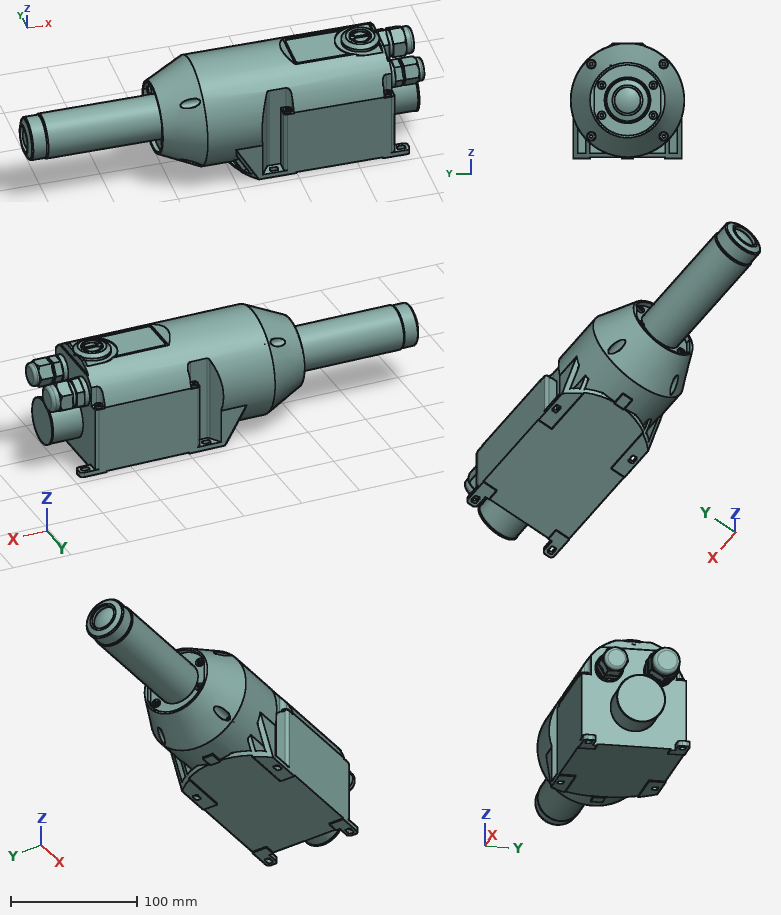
import cadquery as cq
import math


BARREL_R = 45.0
TUBE_R = 36.5 / 2
TUBE_START_X = 14.1
TUBE_CHAMFER_X = 1.2
TIP_R = 17.5
TIP_FACE_R = 24.0 / 2
TIP_RIM_X = 2.0
TIP_EDGE_CHAMFER = 1.0
TIP_BORE_R = 20.6 / 2
TIP_BORE_DEPTH = 3.0
TIP_DOME_HEIGHT = 3.0
CONE_START_X = 106.2
CONE_START_R = 29.7
CONE_END_X = 138.7
REAR_X = 293.5
CONE_HOLE_R = 7.0 / 2
CONE_HOLE_OFFSET = 28.6
CONE_HOLE_FLOOR_X = CONE_END_X + 3.0

NOSE_RECESS_R = 28.0
NOSE_RECESS_HALF_WIDTH = 26.5
NOSE_FLOOR_X = CONE_START_X + 4.0
FLANGE_SCREW_Y = 20.4
FLANGE_SCREW_Z = 11.9

SCREW_HEAD_R = 6.1 / 2
SCREW_HEAD_HEIGHT = 2.0
SCREW_SOCKET_WIDTH = 2.5
SCREW_SOCKET_DEPTH = 1.2

BASE_HALF_Y = 43.0
FOOT_BOTTOM_Z = -46.2
PAD_HEIGHT = 1.0
BASE_BOTTOM_Z = FOOT_BOTTOM_Z + PAD_HEIGHT
FOOT_TOP_Z = -42.0
SIDE_TOP_Z = math.sqrt(BARREL_R**2 - BASE_HALF_Y**2)
REAR_PLATE = 1.1
REAR_PLATE_TOP_Z = 36.0
REAR_CHAMFER_X = 3.0
REAR_CHAMFER_Y = 0.8
PAD_INNER_Y = 29.6
FRONT_PAD_END_X = 212.2
REAR_PAD_START_X = 283.5
FOOT_END_X = 306.2
FOOT_INNER_Y = 33.2
FOOT_CORNER_R = 3.0
FOOT_SLOT_LENGTH = 6.5
FOOT_SLOT_WIDTH = 4.5
FOOT_SLOT_CORNER_R = 1.0
FOOT_SLOT_Y = 38.1
FOOT_SLOT_XS = (195.2, 300.1)

FLARE_TOP_Z = -13.5
FLARE_SIDE_X = 181.5
FLARE_RAKE = 0.58
FLARE_NOSE_R = 60.0
OUTER_WALL = 3.7
INNER_WALL_Y = 33.0
INNER_WALL = 3.0
BAY_START_X = CONE_END_X
BAY_END_X = 184.0
CENTER_PAD_START_X = 152.3
CENTER_PAD_END_X = 163.5
CENTER_PAD_HALF_Y = 4.7

POCKET_START_X = 184.6
POCKET_INNER_X = 191.2
POCKET_INNER_Y = 32.6
POCKET_END_X = 202.2
POCKET_TOP_Z = 31.8
POCKET_CORNER_R = 2.5
COLUMN_R = 2.6
WELL_FLOOR_Z = 12.5
FRONT_WELL_END_X = 210.3
REAR_WELL_START_X = 285.0
REAR_WELL_INNER_Y = 34.5
WELL_CORNER_R = 3.8
WELL_SCREW_Y = 38.7
WELL_SCREW_XS = (206.0, 288.8)

PANEL_Z = 41.3
PANEL_RAMP_START_X = 212.2
PANEL_RAMP_END_X = 218.8
LABEL_START_X = 220.0
LABEL_HALF_Y = 16.2
LABEL_CORNER_R = 2.0
LABEL_DEPTH = 0.4
PANEL_END_X = 290.2
REAR_RIM_Z = 42.7
KNOB_X = 277.3
KNOB_SEAT_R = 20.2
KNOB_SEAT_Z = 40.1
KNOB_R = 30.29 / 2
KNOB_RIM_Z = 42.3
KNOB_TOP_R = 23.0 / 2
KNOB_TOP_Z = 45.0
KNOB_DISH_R = 17.5 / 2
KNOB_DISH_DEPTH = 2.0
KNOB_DISC_R = 13.5 / 2
KNOB_DISC_HEIGHT = 1.0
KNOB_BAR_WIDTH = 1.4
KNOB_BAR_HEIGHT = 1.7
KNOB_PIVOT_R = 2.3
KNOB_PIVOT_OFFSET = 6.2

INLET_R = 19.0
INLET_Z = -13.6
INLET_END_X = 320.7
INLET_LIP = 0.4
INLET_LIP_WIDTH = 1.2
GLAND_Z = 18.2
GLAND_HEX_START_X = 297.7
GLAND_HEX_END_X = 304.2
GLAND_NECK_STEP = 1.0
GLAND_NUT_CHAMFER = 1.5
LARGE_GLAND = {
    "y": 20.0,
    "flats": 22.5,
    "flange_r": 24.0 / 2,
    "nut_x": (307.5, 318.3),
    "cap_r": 11.0,
    "cap_edge_r": 3.0,
    "end_x": 325.25,
    "turn": 90,
}
SMALL_GLAND = {
    "y": -20.4,
    "flats": 19.0,
    "flange_r": 22.0 / 2,
    "nut_x": (305.8, 317.7),
    "cap_r": 9.5,
    "cap_edge_r": 2.5,
    "end_x": 322.3,
    "turn": 0,
}


def x_cylinder(radius, start_x, end_x, y=0.0, z=0.0):
    """Cylinder along X."""
    return cq.Workplane("YZ", origin=(start_x, y, z)).circle(radius).extrude(end_x - start_x)


def block(x_range, y_range, z_range):
    """Box given by its limits along each axis."""
    size = [high - low for low, high in (x_range, y_range, z_range)]
    return cq.Workplane("XY").box(*size, centered=False).translate((x_range[0], y_range[0], z_range[0]))


def both_sides(shape):
    """Shape together with its mirror image across the XZ plane."""
    return shape.union(shape.mirror("XZ"))


def screw_head():
    """Socket screw head standing on Z = 0 with its axis along Z."""
    head = cq.Workplane("XY").circle(SCREW_HEAD_R).extrude(SCREW_HEAD_HEIGHT)
    socket_corner_d = SCREW_SOCKET_WIDTH / math.cos(math.pi / 6)
    return head.faces(">Z").workplane().polygon(6, socket_corner_d).cutBlind(-SCREW_SOCKET_DEPTH)


def front_screw(x, y, z):
    """Screw head facing -X and seated at the given point."""
    return screw_head().rotate((0, 0, 0), (0, 1, 0), -90).translate((x, y, z))


def make_barrel():
    """Nozzle, recessed cone and barrel turned about the X axis, with a domed bore in the tip."""
    dome_r = (TIP_BORE_R**2 + TIP_DOME_HEIGHT**2) / (2 * TIP_DOME_HEIGHT)
    return (
        cq.Workplane("XY")
        .moveTo(TIP_BORE_DEPTH - TIP_DOME_HEIGHT, 0)
        .radiusArc((TIP_BORE_DEPTH, TIP_BORE_R), dome_r)
        .lineTo(0, TIP_BORE_R)
        .lineTo(0, TIP_FACE_R)
        .lineTo(TIP_RIM_X, TIP_R - TIP_EDGE_CHAMFER)
        .lineTo(TIP_RIM_X + TIP_EDGE_CHAMFER, TIP_R)
        .lineTo(TUBE_START_X, TIP_R)
        .lineTo(TUBE_START_X + TUBE_CHAMFER_X, TUBE_R)
        .lineTo(NOSE_FLOOR_X, TUBE_R)
        .lineTo(NOSE_FLOOR_X, NOSE_RECESS_R)
        .lineTo(CONE_START_X, NOSE_RECESS_R)
        .lineTo(CONE_START_X, CONE_START_R)
        .lineTo(CONE_END_X, BARREL_R)
        .lineTo(REAR_X, BARREL_R)
        .lineTo(REAR_X, 0)
        .close()
        .revolve(360, (0, 0, 0), (1, 0, 0))
    )


def cut_barrel_sides(body):
    """Side flats that trim the rear of the barrel to the width of the base."""
    flat = block((POCKET_START_X, REAR_X), (BASE_HALF_Y, BARREL_R), (-BARREL_R, BARREL_R))
    return body.cut(both_sides(flat))


def finish_nose_recess(body):
    """Flat sides for the recess around the nozzle, and four flange screws on its floor."""
    opening_y = (-NOSE_RECESS_HALF_WIDTH, NOSE_RECESS_HALF_WIDTH)
    flats = x_cylinder(NOSE_RECESS_R, CONE_START_X, NOSE_FLOOR_X)
    flats = flats.cut(block((CONE_START_X, NOSE_FLOOR_X), opening_y, (-NOSE_RECESS_R, NOSE_RECESS_R)))
    body = body.union(flats)
    for y in (-FLANGE_SCREW_Y, FLANGE_SCREW_Y):
        for z in (-FLANGE_SCREW_Z, FLANGE_SCREW_Z):
            body = body.union(front_screw(NOSE_FLOOR_X, y, z))
    return body


def cut_cone_holes(body):
    """Four screw holes parallel to X, opening through the cone."""
    for y in (-CONE_HOLE_OFFSET, CONE_HOLE_OFFSET):
        for z in (-CONE_HOLE_OFFSET, CONE_HOLE_OFFSET):
            body = body.cut(x_cylinder(CONE_HOLE_R, CONE_START_X, CONE_HOLE_FLOOR_X, y, z))
            body = body.union(front_screw(CONE_HOLE_FLOOR_X, y, z))
    return body


def add_flare_section(workplane, z):
    """Half plan outline of the base front at height z: a round nose moving forward with height."""
    end_x = BAY_END_X + OUTER_WALL
    side_x = FLARE_SIDE_X - FLARE_RAKE * (z - FOOT_BOTTOM_Z)
    nose_x = side_x + math.sqrt(FLARE_NOSE_R**2 - BASE_HALF_Y**2) - FLARE_NOSE_R
    return (
        workplane.moveTo(end_x, 0)
        .lineTo(nose_x, 0)
        .radiusArc((side_x, BASE_HALF_Y), FLARE_NOSE_R)
        .lineTo(end_x, BASE_HALF_Y)
        .close()
    )


def make_flare():
    """Rounded and raked front of the base with its inner bay and the pads below."""
    lower = add_flare_section(cq.Workplane("XY", origin=(0, 0, FOOT_BOTTOM_Z)), FOOT_BOTTOM_Z)
    sections = add_flare_section(lower.workplane(offset=FLARE_TOP_Z - FOOT_BOTTOM_Z), FLARE_TOP_Z)
    half = sections.loft(ruled=True)

    bay_height = (FOOT_TOP_Z, FLARE_TOP_Z)
    inner_bay_y = INNER_WALL_Y - INNER_WALL
    half = half.cut(block((BAY_START_X, BAY_END_X), (0, inner_bay_y), bay_height))

    under_floor_x = (BAY_START_X, BAY_END_X + OUTER_WALL)
    half = half.cut(block(under_floor_x, (0, PAD_INNER_Y), (FOOT_BOTTOM_Z, BASE_BOTTOM_Z)))
    half = half.union(
        block((CENTER_PAD_START_X, CENTER_PAD_END_X), (0, CENTER_PAD_HALF_Y), (FOOT_BOTTOM_Z, FOOT_TOP_Z))
    )
    return both_sides(half)


def make_base():
    """Box housing under the barrel with its four feet."""
    box = block((BAY_END_X, REAR_X), (-BASE_HALF_Y, BASE_HALF_Y), (BASE_BOTTOM_Z, SIDE_TOP_Z))
    pad_z = (FOOT_BOTTOM_Z, BASE_BOTTOM_Z)
    pads = block((BAY_END_X, FRONT_PAD_END_X), (PAD_INNER_Y, BASE_HALF_Y), pad_z)
    pads = pads.union(block((REAR_PAD_START_X, REAR_X), (PAD_INNER_Y, BASE_HALF_Y), pad_z))
    foot_x = (REAR_X - REAR_CHAMFER_X, FOOT_END_X)
    foot = block(foot_x, (FOOT_INNER_Y, BASE_HALF_Y), (FOOT_BOTTOM_Z, FOOT_TOP_Z))
    foot = foot.faces(">X").edges("|Z").fillet(FOOT_CORNER_R)
    base = box.union(both_sides(pads.union(foot))).union(make_flare())
    return base.cut(both_sides(make_outer_bay()))


def make_outer_bay():
    """Cavity between the two flared walls, ending parallel to the pocket front wall."""
    outer_y = BASE_HALF_Y - OUTER_WALL
    return (
        cq.Workplane("XY", origin=(0, 0, FOOT_TOP_Z))
        .polyline(
            [
                (BAY_START_X, INNER_WALL_Y),
                (BAY_START_X, outer_y),
                (pocket_front_x(outer_y) - OUTER_WALL, outer_y),
                (pocket_front_x(INNER_WALL_Y) - OUTER_WALL, INNER_WALL_Y),
            ]
        )
        .close()
        .extrude(FLARE_TOP_Z - FOOT_TOP_Z)
    )


def pocket_front_x(y):
    """X of the oblique pocket front wall at distance y from the middle plane."""
    slope = (POCKET_INNER_X - POCKET_START_X) / (BASE_HALF_Y - POCKET_INNER_Y)
    return POCKET_START_X + slope * (BASE_HALF_Y - y)


def cut_side_pockets(body):
    """Recess above each front foot with an oblique front wall and a rounded rear corner."""
    outer_y = BARREL_R + 1
    pocket = (
        cq.Workplane("XY", origin=(0, 0, FOOT_TOP_Z))
        .polyline(
            [
                (pocket_front_x(outer_y), outer_y),
                (POCKET_INNER_X, POCKET_INNER_Y),
                (POCKET_END_X, POCKET_INNER_Y),
                (POCKET_END_X, BASE_HALF_Y - COLUMN_R),
            ]
        )
        .radiusArc((POCKET_END_X + COLUMN_R, BASE_HALF_Y), COLUMN_R)
        .lineTo(POCKET_END_X + COLUMN_R, outer_y)
        .close()
        .extrude(POCKET_TOP_Z - FOOT_TOP_Z)
    )
    pocket = pocket.edges("|Z").edges("<Y").edges("<X").fillet(POCKET_CORNER_R)
    well_z = (WELL_FLOOR_Z, POCKET_TOP_Z)
    front_well = block((POCKET_END_X, FRONT_WELL_END_X), (POCKET_INNER_Y, outer_y), well_z)
    front_well = front_well.edges("|Z and >X and <Y").fillet(WELL_CORNER_R)
    rear_well = block((REAR_WELL_START_X, REAR_X), (REAR_WELL_INNER_Y, outer_y), well_z)
    rear_well = rear_well.edges("|Z and <X and <Y").fillet(WELL_CORNER_R)

    body = body.cut(both_sides(pocket.union(front_well).union(rear_well)))
    for x in WELL_SCREW_XS:
        body = body.union(both_sides(screw_head().translate((x, WELL_SCREW_Y, WELL_FLOOR_Z))))
    return body


def cut_rear_end(body):
    """Long shallow chamfers on the rear corners and a step above the rear end plate."""
    chamfer = (
        cq.Workplane("XY", origin=(0, 0, FOOT_TOP_Z))
        .polyline(
            [
                (REAR_X - REAR_CHAMFER_X, BASE_HALF_Y),
                (REAR_X, BASE_HALF_Y),
                (REAR_X, BASE_HALF_Y - REAR_CHAMFER_Y),
            ]
        )
        .close()
        .extrude(SIDE_TOP_Z - FOOT_TOP_Z)
    )
    step = block((REAR_X - REAR_PLATE, REAR_X), (-BARREL_R, BARREL_R), (REAR_PLATE_TOP_Z, BARREL_R))
    return body.cut(both_sides(chamfer)).cut(step)


def cut_foot_slots(body):
    """Rounded rectangular mounting slots through the feet."""
    foot_height = FOOT_TOP_Z - FOOT_BOTTOM_Z
    for x in FOOT_SLOT_XS:
        slot = (
            cq.Workplane("XY", origin=(x, FOOT_SLOT_Y, FOOT_BOTTOM_Z))
            .rect(FOOT_SLOT_LENGTH, FOOT_SLOT_WIDTH)
            .extrude(foot_height)
            .edges("|Z")
            .fillet(FOOT_SLOT_CORNER_R)
        )
        body = body.cut(both_sides(slot))
    return body


def cut_top_flats(body):
    """Ramped flat along the top, a label recess and the round-fronted knob seat."""
    panel = (
        cq.Workplane("XZ")
        .polyline(
            [
                (PANEL_RAMP_START_X, BARREL_R),
                (PANEL_RAMP_END_X, PANEL_Z),
                (PANEL_END_X, PANEL_Z),
                (PANEL_END_X, REAR_RIM_Z),
                (REAR_X, REAR_RIM_Z),
                (REAR_X, BARREL_R),
            ]
        )
        .close()
        .extrude(BARREL_R, both=True)
    )
    label = block((LABEL_START_X, KNOB_X), (-LABEL_HALF_Y, LABEL_HALF_Y), (PANEL_Z - LABEL_DEPTH, PANEL_Z))
    label = label.edges("|Z and <X").fillet(LABEL_CORNER_R)
    seat = cq.Workplane("XY", origin=(KNOB_X, 0, KNOB_SEAT_Z)).circle(KNOB_SEAT_R)
    seat = seat.extrude(BARREL_R - KNOB_SEAT_Z)
    seat = seat.intersect(block((0, PANEL_END_X), (-BARREL_R, BARREL_R), (KNOB_SEAT_Z, BARREL_R)))
    seat = seat.union(block((KNOB_X, PANEL_END_X), (-KNOB_SEAT_R, KNOB_SEAT_R), (KNOB_SEAT_Z, BARREL_R)))
    clearance = cq.Workplane("XY", origin=(KNOB_X, 0, KNOB_SEAT_Z)).circle(KNOB_R)
    return body.cut(panel).cut(label).cut(seat).cut(clearance.extrude(BARREL_R - KNOB_SEAT_Z))


def make_knob():
    """Conical knob with a dished top holding a disc, a pointer bar and its pivot."""
    dish_z = KNOB_TOP_Z - KNOB_DISH_DEPTH
    knob = (
        cq.Workplane("XZ")
        .polyline(
            [
                (0, KNOB_SEAT_Z),
                (KNOB_R, KNOB_SEAT_Z),
                (KNOB_R, KNOB_RIM_Z),
                (KNOB_TOP_R, KNOB_TOP_Z),
                (KNOB_DISH_R, KNOB_TOP_Z),
                (KNOB_DISH_R, dish_z),
                (0, dish_z),
            ]
        )
        .close()
        .revolve(360, (0, 0, 0), (0, 1, 0))
    )
    dish = cq.Workplane("XY", origin=(0, 0, dish_z))
    knob = knob.union(dish.circle(KNOB_DISC_R).extrude(KNOB_DISC_HEIGHT))
    knob = knob.union(dish.rect(2 * KNOB_DISH_R, KNOB_BAR_WIDTH).extrude(KNOB_BAR_HEIGHT))
    pivot = dish.center(-KNOB_PIVOT_OFFSET, 0).circle(KNOB_PIVOT_R).extrude(KNOB_BAR_HEIGHT)
    return knob.union(pivot).translate((KNOB_X, 0, 0))


def make_gland(y, flats, flange_r, nut_x, cap_r, cap_edge_r, end_x, turn):
    """Cable gland: round flange, hexagon body, neck, chamfered hexagon nut and rounded cap."""
    corner_r = flats / 2 / math.cos(math.pi / 6)
    nut_start_x, nut_end_x = nut_x

    def hexagon(start_x, stop_x):
        prism = cq.Workplane("YZ", origin=(start_x, y, GLAND_Z)).transformed(rotate=(0, 0, turn))
        return prism.polygon(6, 2 * corner_r).extrude(stop_x - start_x)

    nut_envelope = x_cylinder(corner_r, nut_start_x, nut_end_x, y, GLAND_Z)
    nut_envelope = nut_envelope.faces(">X").edges().chamfer(GLAND_NUT_CHAMFER)
    cap = x_cylinder(cap_r, nut_start_x, end_x, y, GLAND_Z).faces(">X").edges().fillet(cap_edge_r)
    neck_r = flats / 2 - GLAND_NECK_STEP

    gland = x_cylinder(flange_r, REAR_X - REAR_PLATE, GLAND_HEX_START_X, y, GLAND_Z)
    gland = gland.union(hexagon(GLAND_HEX_START_X, GLAND_HEX_END_X))
    gland = gland.union(x_cylinder(neck_r, GLAND_HEX_END_X, nut_start_x, y, GLAND_Z))
    return gland.union(hexagon(nut_start_x, nut_end_x).intersect(nut_envelope)).union(cap)


def make_inlet():
    """Round inlet stub on the rear face, with a raised lip at its end."""
    inlet = x_cylinder(INLET_R, REAR_X, INLET_END_X, 0, INLET_Z)
    lip_start_x = INLET_END_X - INLET_LIP_WIDTH
    return inlet.union(x_cylinder(INLET_R + INLET_LIP, lip_start_x, INLET_END_X, 0, INLET_Z))


result = make_base().union(cut_barrel_sides(make_barrel()))
result = finish_nose_recess(result)
result = cut_cone_holes(result)
result = cut_side_pockets(result)
result = cut_rear_end(result)
result = cut_foot_slots(result)
result = cut_top_flats(result)
result = result.union(make_knob())
result = result.union(make_inlet())
result = result.union(make_gland(**LARGE_GLAND))
result = result.union(make_gland(**SMALL_GLAND))